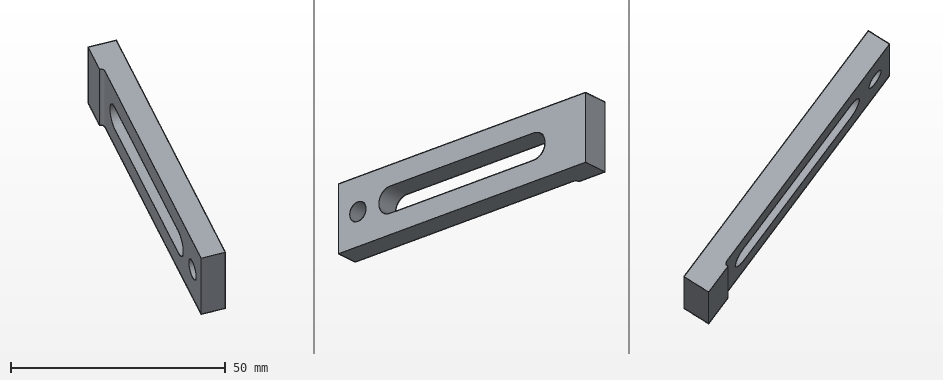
import cadquery as cq
import math

length = 76.0
thickness = 7.0
height = 18.0

pad_length = 8.0
blend_radius = 1.0

slot_start = 12.5
slot_end = 63.5
slot_width = 7.0
hole_x = 70.0
hole_diameter = 5.0

mid_height = height / 2
slot_length = slot_end - slot_start
slot_centre_x = (slot_start + slot_end) / 2


def bar_with_pad():
    """Plan outline in XY, stepped on the -Y side by a concave quarter arc, extruded up."""
    blend_end_x = pad_length + blend_radius
    arc_offset = blend_radius * math.sqrt(0.5)
    arc_middle = (blend_end_x - arc_offset, arc_offset)
    return (
        cq.Workplane("XY")
        .lineTo(pad_length, 0)
        .threePointArc(arc_middle, (blend_end_x, blend_radius))
        .lineTo(length, blend_radius)
        .lineTo(length, thickness)
        .lineTo(0, thickness)
        .close()
        .extrude(height)
    )


def through_cutters():
    """Slot and hole cutters running along +Y through the full thickness."""
    slot_plane = cq.Workplane("XZ").center(slot_centre_x, mid_height)
    slot = slot_plane.slot2D(slot_length, slot_width).extrude(-thickness)
    hole_plane = cq.Workplane("XZ").center(hole_x, mid_height)
    hole = hole_plane.circle(hole_diameter / 2).extrude(-thickness)
    return slot.union(hole)


result = bar_with_pad().cut(through_cutters())